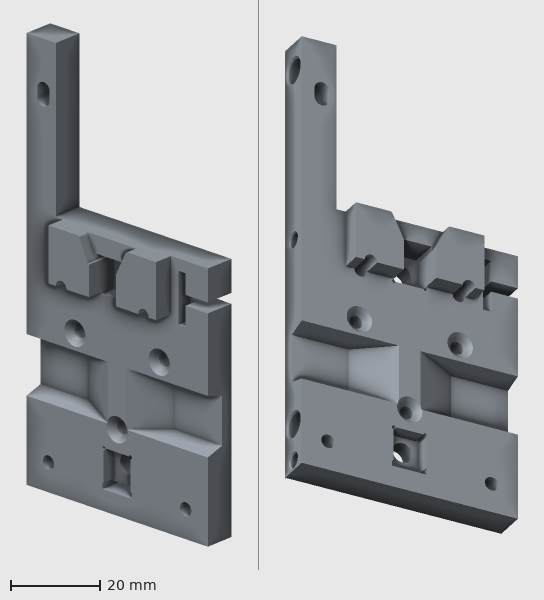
import cadquery as cq


plate_width = 55.0
plate_thickness = 7.9
plate_height = 67.2
arm_width = 8.9
total_height = 109.5
nib_height = 0.27
nib_size = 0.1
arm_top = total_height - nib_height
left_edge = -plate_width / 2
right_edge = plate_width / 2

block_width = 32.6
block_bottom = 53.2
block_projection = 4.9

notch_depth = 3.0
notch_half_top = 7.2
notch_round = 0.9

pocket_width = 8.2
pocket_length = 9.1
pocket_depth = 3.6
slit_width = 9.0
upper_pocket_outer = 61.6
upper_slit_height = 1.1
lower_pocket_outer = 6.2
lower_slit_height = 1.0
relief_diameter = 1.0
upper_screw_z = 56.6
lower_screw_z = 11.5
screw_diameter = 4.9

countersunk_diameter = 3.2
countersink_diameter = 6.5
countersunk_upper_x = 12.8
countersunk_upper_z = 40.6
countersunk_lower_z = 20.8

corner_hole_x = 20.8
corner_hole_z = 7.2
corner_hole_diameter = 3.4
block_hole_x = 12.5
block_hole_diameter = 3.2

channel_top = 36.5
channel_bottom = 21.6
channel_depth = 4.7
channel_flank_rise = 1.4
ridge_half_top = 2.7
ridge_half_foot = 13.0

slot_left = 18.6
slot_right = 20.7
slot_bottom = 51.2
slot_top = 64.3
gap_bottom = 56.4
gap_top = 59.0
slot_end_length = 2.7
slot_floor_depth = plate_thickness / 2

oblong_edge_distance = 5.1
oblong_z = 95.8
oblong_length = 5.9
oblong_width = 3.7

side_hole_y = plate_thickness / 2
large_side_z = (11.7, 102.3)
large_side_diameter = 5.9
large_side_mouth = 6.8
large_side_depth = 3.0
cone_tip_diameter = 4.3
cone_height = 0.4
small_side_z = (2.5, 58.9)
small_side_diameter = 3.5
small_side_mouth = 4.2
small_side_depth = 2.7


def box(x_range, y_range, z_range):
    """Box spanning the given (low, high) ranges."""
    size = [high - low for low, high in (x_range, y_range, z_range)]
    return cq.Workplane("XY").box(*size, centered=False).translate((x_range[0], y_range[0], z_range[0]))


def front_cylinder(x, z, diameter):
    """Cylinder along Y, long enough to cross the plate and the block."""
    length = block_projection + plate_thickness
    return (
        cq.Workplane("XZ", origin=(x, plate_thickness, z))
        .circle(diameter / 2)
        .extrude(length)
    )


def body():
    outline = [
        (left_edge, 0),
        (right_edge, 0),
        (right_edge, plate_height),
        (left_edge + arm_width, plate_height),
        (left_edge + arm_width, arm_top),
        (left_edge, arm_top),
    ]
    plate = cq.Workplane("XZ").polyline(outline).close().extrude(-plate_thickness)
    block = box(
        (-block_width / 2, block_width / 2),
        (-block_projection, 0),
        (block_bottom, plate_height),
    )
    nib = box(
        (left_edge, left_edge + nib_size),
        (plate_thickness - nib_size, plate_thickness),
        (-nib_height, nib_size),
    )
    return plate.union(block).union(nib)


def channel_side(sign):
    """One half of the cross channel; sign picks the left (-1) or right (+1) half."""
    profile = [
        (0, channel_bottom),
        (channel_depth, channel_bottom + channel_flank_rise),
        (channel_depth, channel_top - channel_flank_rise),
        (0, channel_top),
    ]
    trough = (
        cq.Workplane("YZ", origin=(left_edge, 0, 0))
        .polyline(profile).close()
        .extrude(plate_width)
    )
    span = [
        (sign * ridge_half_top, 0),
        (sign * ridge_half_foot, channel_depth),
        (sign * right_edge, channel_depth),
        (sign * right_edge, 0),
    ]
    return trough.intersect(cq.Workplane("XY").polyline(span).close().extrude(plate_height))


def notch():
    outline = [
        (-slit_width / 2, upper_pocket_outer),
        (slit_width / 2, upper_pocket_outer),
        (notch_half_top, plate_height),
        (-notch_half_top, plate_height),
    ]
    return (
        cq.Workplane("XZ", origin=(0, -block_projection, 0))
        .polyline(outline).close()
        .extrude(-notch_depth)
    )


def round_notch_rims(part):
    """Round the edges where the notch sides meet the top of the plate."""
    rim_y = notch_depth / 2 - block_projection
    for side in (-1, 1):
        rim = cq.selectors.NearestToPointSelector((side * notch_half_top, rim_y, plate_height))
        part = part.edges(rim).fillet(notch_round)
    return part


def nut_pocket(outer_z, outward, slit_height, screw_z):
    """Rectangular pocket with round corner reliefs, a screw hole and a through slit.

    The pocket's outer end is at outer_z; outward is the Z direction (+1 or -1)
    from the pocket towards its slit.
    """
    inner_z = outer_z - outward * pocket_length
    slit_end = outer_z + outward * slit_height
    depth_range = (-block_projection, pocket_depth)
    pocket = box(
        (-pocket_width / 2, pocket_width / 2),
        depth_range,
        sorted((inner_z, outer_z)),
    )
    slit = box(
        (-slit_width / 2, slit_width / 2),
        (-block_projection, plate_thickness),
        sorted((outer_z, slit_end)),
    )
    pocket = pocket.union(slit).union(front_cylinder(0, screw_z, screw_diameter))
    relief_x = (slit_width - relief_diameter) / 2
    relief_inset = pocket_width / 2 - relief_x
    relief_ends = (inner_z + outward * relief_inset, outer_z - outward * relief_inset)
    reliefs = (
        cq.Workplane("XZ", origin=(0, pocket_depth, 0))
        .pushPoints([(side * relief_x, z) for side in (-1, 1) for z in relief_ends])
        .circle(relief_diameter / 2)
        .extrude(pocket_depth + block_projection)
    )
    return pocket.union(reliefs)


def countersunk_hole(x, z):
    sink_depth = (countersink_diameter - countersunk_diameter) / 2
    cone = (
        cq.Workplane("XZ", origin=(x, 0, z))
        .circle(countersink_diameter / 2)
        .workplane(offset=-sink_depth)
        .circle(countersunk_diameter / 2)
        .loft()
    )
    return cone.union(front_cylinder(x, z, countersunk_diameter))


def edge_slot():
    through = (0, plate_thickness)
    shallow = (0, slot_floor_depth)
    sides = (slot_left, slot_right)
    return (
        box(sides, shallow, (slot_bottom, slot_top))
        .union(box(sides, through, (slot_bottom, slot_bottom + slot_end_length)))
        .union(box(sides, through, (slot_top - slot_end_length, slot_top)))
        .union(box((slot_left, right_edge), through, (gap_bottom, gap_top)))
    )


def oblong_hole():
    oblong_x = left_edge + oblong_edge_distance
    return (
        cq.Workplane("XZ", origin=(oblong_x, 0, oblong_z))
        .slot2D(oblong_length, oblong_width, 90)
        .extrude(-plate_thickness)
    )


def side_hole(z, diameter, mouth_diameter, depth):
    """Blind hole along X from the left side, with a chamfered mouth."""
    chamfer = (mouth_diameter - diameter) / 2
    start = cq.Workplane("YZ", origin=(left_edge, side_hole_y, z))
    hole = start.circle(diameter / 2).extrude(depth)
    mouth = (
        start.circle(mouth_diameter / 2)
        .workplane(offset=chamfer)
        .circle(diameter / 2)
        .loft()
    )
    return hole.union(mouth)


def large_side_hole(z):
    """Side hole whose floor carries a raised cone with a flat tip."""
    hole = side_hole(z, large_side_diameter, large_side_mouth, large_side_depth)
    cone = (
        cq.Workplane("YZ", origin=(left_edge + large_side_depth, side_hole_y, z))
        .circle(large_side_diameter / 2)
        .workplane(offset=-cone_height)
        .circle(cone_tip_diameter / 2)
        .loft()
    )
    return hole.cut(cone)


result = body()
result = round_notch_rims(result.cut(notch()))
for sign in (-1, 1):
    result = result.cut(channel_side(sign))
    result = result.cut(countersunk_hole(sign * countersunk_upper_x, countersunk_upper_z))
    result = result.cut(front_cylinder(sign * corner_hole_x, corner_hole_z, corner_hole_diameter))
    result = result.cut(front_cylinder(sign * block_hole_x, block_bottom, block_hole_diameter))
result = result.cut(countersunk_hole(0, countersunk_lower_z))
result = result.cut(nut_pocket(upper_pocket_outer, 1, upper_slit_height, upper_screw_z))
result = result.cut(nut_pocket(lower_pocket_outer, -1, lower_slit_height, lower_screw_z))
result = result.cut(edge_slot()).cut(oblong_hole())
for z in large_side_z:
    result = result.cut(large_side_hole(z))
for z in small_side_z:
    result = result.cut(side_hole(z, small_side_diameter, small_side_mouth, small_side_depth))